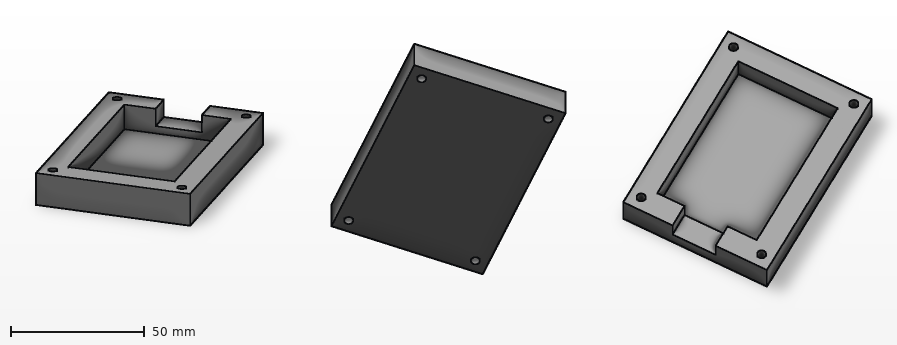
import cadquery as cq

width = 61.0
length = 82.7
height = 13.0

wall = 9.4
floor_thickness = 3.0

notch_width = 18.3
notch_depth = 7.0
notch_offset = 0.4

hole_diameter = 3.4
hole_inset = 5.0


def make_block():
    return cq.Workplane("XY").box(width, length, height, centered=(True, True, False))


def cut_pocket(body):
    pocket_depth = height - floor_thickness
    return (
        body.faces(">Z").workplane(origin=(0, 0, height))
        .rect(width - 2 * wall, length - 2 * wall)
        .cutBlind(-pocket_depth)
    )


def cut_notch(body):
    notch_center_y = (length - wall) / 2
    return (
        body.faces(">Z").workplane(origin=(0, 0, height))
        .center(notch_offset, notch_center_y)
        .rect(notch_width, wall)
        .cutBlind(-notch_depth)
    )


def drill_corner_holes(body):
    return (
        body.faces(">Z").workplane(origin=(0, 0, height))
        .rect(width - 2 * hole_inset, length - 2 * hole_inset, forConstruction=True)
        .vertices()
        .hole(hole_diameter)
    )


result = drill_corner_holes(cut_notch(cut_pocket(make_block())))